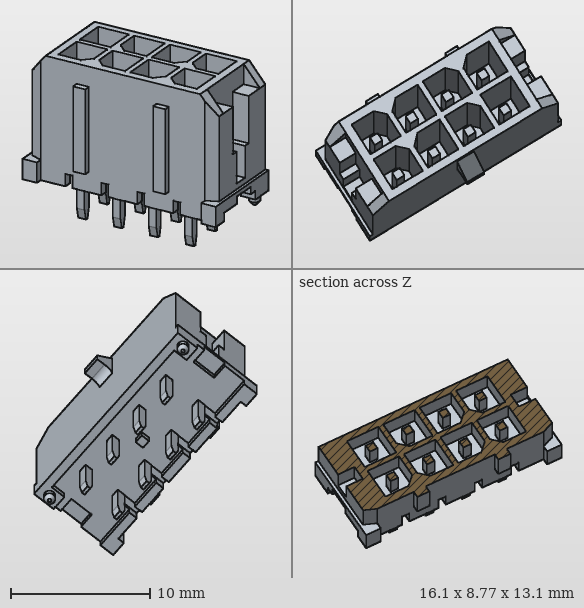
import cadquery as cq


base_length = 16.15
housing_length = 15.63
housing_depth = 6.86
housing_height = 9.92
base_height = 1.62
front_y = -housing_depth / 2
back_y = housing_depth / 2
base_end_x = base_length / 2
end_x = housing_length / 2
foot_width = 1.21
inner_foot_x = base_end_x - foot_width
core_end_x = 6.46
shoulder_z = 8.32
corner_cut_y = 0.39

front_projection = 0.52
front_foot_depth = 1.2
back_foot_depth = 1.82
rib_x = 3.35
rib_width = 1.02

end_wall_front = 0.99
end_wall_back = 0.78
wide_slot_width = 2.2
wide_slot_z = 4.59
narrow_slot_width = 1.16
narrow_slot_z = 2.07

columns = 4
rows = 2
pitch = 3.0
row_shift_y = 0.03
cell_size = 2.57
cell_key = 0.7
cell_floor_z = 2.07
pin_size = 0.65
pin_tip_width = 0.26
pin_bottom_z = -3.18
pin_taper_z = -2.34
pin_top_z = 6.78

underside_z = 0.68
wall_thickness = 0.66
end_notch_width = 1.9
end_notch_z = 1.26
pin_notch_width = 0.6
pin_notch_z = 0.99
post_size = 0.68

peg_x = 7.5
peg_y = 2.47
peg_radius = 0.42
peg_tip_radius = 0.13
peg_shoulder_z = -0.5
peg_bottom_z = -0.84

latch_width = 1.42
latch_reach = 1.39
latch_top_z = 9.35
latch_nose_top_z = 7.72
latch_nose_bottom_z = 6.96
latch_arc_top_z = 7.01
latch_arc_reach = 0.75
latch_root_z = 6.51


def block(x_range, y_range, z_range):
    """Box spanning the given (low, high) limits on each axis."""
    size = [high - low for low, high in (x_range, y_range, z_range)]
    corner = (x_range[0], y_range[0], z_range[0])
    return cq.Workplane("XY").box(*size, centered=False).translate(corner)


def span(center, width):
    return (center - width / 2, center + width / 2)


def at_end(side, inner, outer):
    """X limits of a feature at the left (-1) or right (1) end."""
    return tuple(sorted((side * inner, side * outer)))


def pin_positions():
    for column in range(columns):
        for row in range(rows):
            x = (column - (columns - 1) / 2) * pitch
            y = (row - (rows - 1) / 2) * pitch + row_shift_y
            yield column, row, x, y


def make_housing():
    plan = [
        (-end_x, back_y),
        (end_x, back_y),
        (end_x, front_y + corner_cut_y),
        (inner_foot_x, front_y),
        (-inner_foot_x, front_y),
        (-end_x, front_y + corner_cut_y),
    ]
    elevation = [
        (-end_x, 0),
        (end_x, 0),
        (end_x, shoulder_z),
        (core_end_x, housing_height),
        (-core_end_x, housing_height),
        (-end_x, shoulder_z),
    ]
    upright = cq.Workplane("XY").polyline(plan).close().extrude(housing_height)
    sloped = cq.Workplane("XZ").polyline(elevation).close().extrude(housing_depth / 2, both=True)
    return upright.intersect(sloped)


def make_base():
    full_length = (-base_end_x, base_end_x)
    base = block(full_length, (front_y, back_y), (0, base_height))
    for side in (-1, 1):
        foot_x = at_end(side, inner_foot_x, base_end_x)
        base = base.union(block(foot_x, (front_y - front_projection, front_y), (0, base_height)))
    return base


def make_front_ribs():
    rib = block(span(0, rib_width), (front_y - front_projection, front_y), (base_height, shoulder_z))
    return rib.translate((-rib_x, 0, 0)).union(rib.translate((rib_x, 0, 0)))


def make_end_recess(side):
    recess_x = at_end(side, core_end_x, base_end_x)
    open_y = (front_y + end_wall_front, back_y - end_wall_back)
    recess = block(recess_x, open_y, (shoulder_z, housing_height))
    recess = recess.union(block(recess_x, span(0, wide_slot_width), (wide_slot_z, shoulder_z)))
    return recess.union(block(recess_x, span(0, narrow_slot_width), (narrow_slot_z, wide_slot_z)))


def make_cell(column, row, x, y):
    """Square cell; all but the back left one have one front edge cut off as a key."""
    depth = housing_height - cell_floor_z
    cell = cq.Workplane("XY").box(cell_size, cell_size, depth, centered=(True, True, False))
    if (column, row) != (0, rows - 1):
        side = ">X" if column % 2 == 0 else "<X"
        cell = cell.faces(side).edges("|Z and <Y").chamfer(cell_key)
    return cell.translate((x, y, cell_floor_z))


def make_underside():
    """Clearance under the base, leaving the outer walls, the feet and a centre post."""
    clear_front = front_y - front_projection + front_foot_depth
    clear_z = (0, underside_z)
    clearance = block((-base_end_x, base_end_x), (clear_front, back_y - back_foot_depth), clear_z)
    between_feet = (clear_front, back_y - wall_thickness)
    clearance = clearance.union(block((-inner_foot_x, inner_foot_x), between_feet, clear_z))
    clearance = clearance.cut(block(span(0, post_size), span(row_shift_y, post_size), clear_z))
    for side in (-1, 1):
        notch_x = at_end(side, inner_foot_x, base_end_x)
        clearance = clearance.union(block(notch_x, span(0, end_notch_width), (0, end_notch_z)))
    return clearance


def make_pin_notch(x, y):
    """Slot through the front wall that reaches back to the pin behind it."""
    return block(span(x, pin_notch_width), (front_y, y), (0, pin_notch_z))


def make_pin(x, y):
    profile = [
        (-pin_size / 2, pin_top_z),
        (-pin_size / 2, pin_taper_z),
        (-pin_tip_width / 2, pin_bottom_z),
        (pin_tip_width / 2, pin_bottom_z),
        (pin_size / 2, pin_taper_z),
        (pin_size / 2, pin_top_z),
    ]
    pin = cq.Workplane("YZ").polyline(profile).close().extrude(pin_size / 2, both=True)
    return pin.translate((x, y, 0))


def make_peg(x):
    profile = [
        (0, base_height / 2),
        (peg_radius, base_height / 2),
        (peg_radius, peg_shoulder_z),
        (peg_tip_radius, peg_bottom_z),
        (0, peg_bottom_z),
    ]
    peg = cq.Workplane("XZ").polyline(profile).close().revolve(360, (0, 0), (0, 1))
    return peg.translate((x, peg_y, 0))


def make_latch():
    """Ramped catch on the back face, with a concave arc under its nose."""
    nose_y = back_y + latch_reach
    return (
        cq.Workplane("YZ")
        .moveTo(back_y, latch_top_z)
        .lineTo(nose_y, latch_nose_top_z)
        .lineTo(nose_y, latch_nose_bottom_z)
        .lineTo(back_y + latch_arc_reach, latch_arc_top_z)
        .tangentArcPoint((back_y, latch_root_z), relative=False)
        .close()
        .extrude(latch_width / 2, both=True)
    )


result = make_housing().union(make_base()).union(make_front_ribs()).union(make_latch())
result = result.cut(make_underside())

for end_side in (-1, 1):
    result = result.cut(make_end_recess(end_side))
    result = result.union(make_peg(end_side * peg_x))

for pin_column, pin_row, pin_x, pin_y in pin_positions():
    result = result.cut(make_cell(pin_column, pin_row, pin_x, pin_y))
    if pin_row == 0:
        result = result.cut(make_pin_notch(pin_x, pin_y))
    result = result.union(make_pin(pin_x, pin_y))